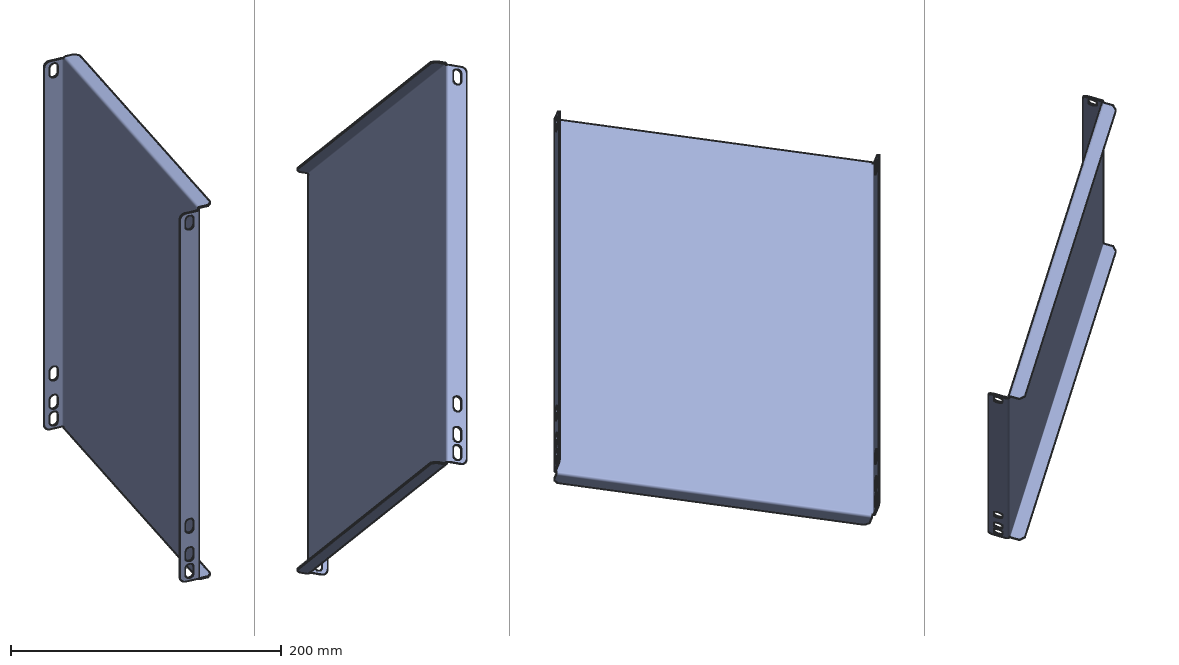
import cadquery as cq

width = 244.0
depth = 27.0
height = 320.0

sheet = 1.3
bend_inner = 0.8
bend_outer = bend_inner + sheet

rear_flange_depth = 12.0
side_flange_depth = depth - rear_flange_depth + sheet
corner_inset = bend_outer
side_corner_radius = 4.5
rear_corner_chamfer = 3.2

slot_width = 6.7
slot_length = 12.0
slot_edge_distance = 7.7
slot_end_distance = 10.5
lower_slot_heights = (slot_end_distance, 25.0, 49.3)

front_y = sheet - side_flange_depth
web_width = width - 2 * corner_inset
web_height = height - 2 * corner_inset


def make_channel(outer_width, leg_depth, length):
    """Bent U channel with its web outside on Y = 0, legs along +Y, extruded on Z."""
    outer = (
        cq.Workplane("XY")
        .box(outer_width, leg_depth, length, centered=(True, False, True))
        .faces("<Y").edges("|Z").fillet(bend_outer)
    )
    inner = (
        cq.Workplane("XY")
        .box(outer_width - 2 * sheet, leg_depth, length, centered=(True, False, True))
        .faces("<Y").edges("|Z").fillet(bend_inner)
        .translate((0, sheet, 0))
    )
    return outer.cut(inner)


def make_side_flanges():
    """Web with the two side flanges, their free corners rounded."""
    channel = make_channel(width, side_flange_depth, web_height)
    channel = channel.faces(">Y").edges("<Z or >Z").fillet(side_corner_radius)
    return channel.rotate((0, 0, 0), (0, 0, 1), 180).translate((0, sheet, 0))


def make_rear_flanges():
    """Web with the top and bottom flanges, their free corners chamfered."""
    channel = make_channel(height, rear_flange_depth, web_width)
    channel = channel.faces(">Y").edges("<Z or >Z").chamfer(rear_corner_chamfer)
    return channel.rotate((0, 0, 0), (0, 1, 0), 90)


def cut_slots(body):
    """Upright slots through both side flanges."""
    slot_y = front_y + slot_edge_distance
    slot_heights = [z - height / 2 for z in lower_slot_heights]
    slot_heights.append(height / 2 - slot_end_distance)
    cutters = (
        cq.Workplane("YZ")
        .pushPoints([(slot_y, z) for z in slot_heights])
        .slot2D(slot_length, slot_width, 90)
        .extrude(width, both=True)
    )
    return body.cut(cutters)


plate = make_side_flanges().union(make_rear_flanges())
result = cut_slots(plate)